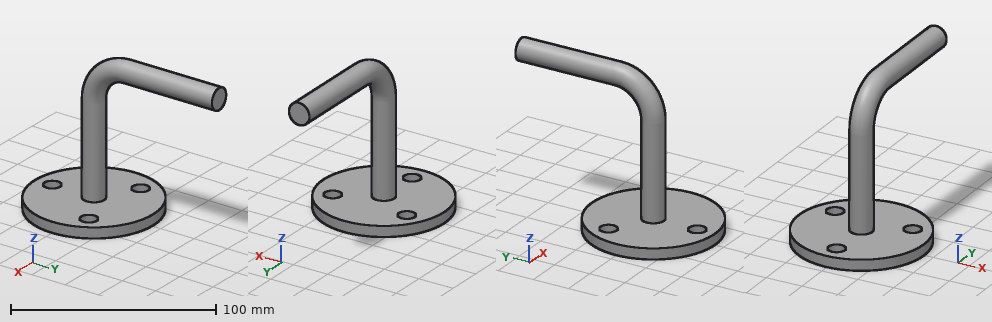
import cadquery as cq

overall_length = 110.0
overall_height = 85.0

flange_diameter = 70.0
flange_thickness = 6.0
hole_diameter = 9.0
hole_circle_radius = 25.0
hole_count = 3
first_hole_angle = -90.0

rod_diameter = 12.0
bend_radius = 20.0

rod_tip_y = overall_length - flange_diameter / 2
arm_height = overall_height - rod_diameter / 2


def make_flange():
    """Disc on the XY plane with evenly spaced through holes."""
    return (
        cq.Workplane("XY")
        .circle(flange_diameter / 2)
        .extrude(flange_thickness)
        .faces(">Z")
        .workplane()
        .polarArray(hole_circle_radius, first_hole_angle, 360, hole_count)
        .hole(hole_diameter)
    )


def make_rod():
    """Round bar rising from the flange centre and bending 90 degrees toward +Y."""
    centre_line = (
        cq.Workplane("YZ")
        .moveTo(0, flange_thickness)
        .lineTo(0, arm_height - bend_radius)
        .tangentArcPoint((bend_radius, arm_height), relative=False)
        .lineTo(rod_tip_y, arm_height)
    )
    return (
        cq.Workplane("XY", origin=(0, 0, flange_thickness))
        .circle(rod_diameter / 2)
        .sweep(centre_line)
    )


result = make_flange().union(make_rod())